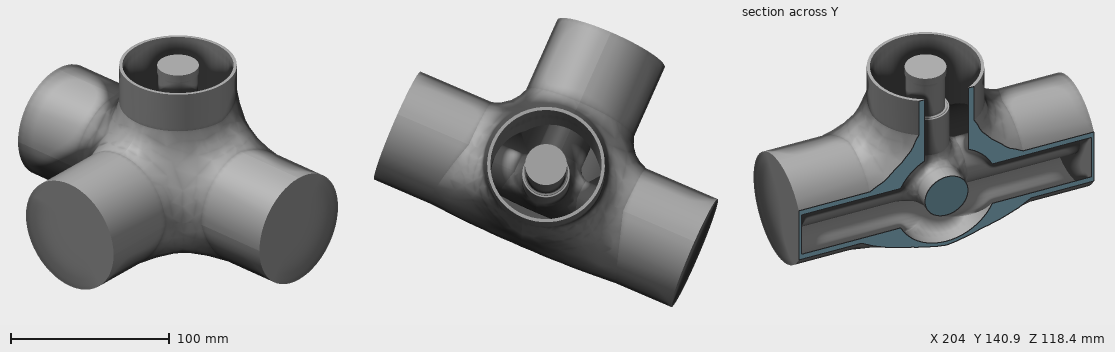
import cadquery as cq
import math

outer_radius = 74.0 / 2
shell_bore_radius = 70.0 / 2
wall = outer_radius - shell_bore_radius
arm_length = 102.0
port_height = 79.5

web_reach_ratio = 1.43
web_middle_ratio = 1.16
corner_ratio = 0.88
crown_reach_ratio = 1.73
crown_ratio = 1.05
heel_ratio = 1.08
belly_reach_ratio = 0.65
belly_height_ratio = 0.92

inner_radius = 30.0 / 2
inner_rim_fillet = (30.0 - 29.5) / 2
inner_arm_length = arm_length - wall
inner_port_height = 49.0
socket_depth = 12.2

pin_radius = 24.9 / 2
shoulder_radius = 28.0 / 2
shoulder_fillet = (28.0 - 26.7) / 2
socket_floor = inner_port_height - socket_depth

ring_radius = 26.3 / 2
ring_height = 4.9

ORIGIN = cq.Vector(0, 0, 0)
X_AXIS = cq.Vector(1, 0, 0)
Y_AXIS = cq.Vector(0, 1, 0)
Z_AXIS = cq.Vector(0, 0, 1)
SIDE_SWAP = Y_AXIS + Z_AXIS



def round_rim(radius, foot, start_side, end_side):
    """Quarter circle round an arm, centred at the foot."""
    middle = (start_side + end_side).normalized()
    return cq.Edge.makeThreePointArc(
        foot + start_side * radius, foot + middle * radius, foot + end_side * radius
    )


def slanted_rim(radius, outward, crown_side, web_side):
    """Quarter ellipse round an arm, from the end of the bulge to the end of the web."""
    foot = outward * (web_reach_ratio * radius)
    to_crown = outward * ((crown_reach_ratio - web_reach_ratio) * radius) + crown_side * radius
    normal = to_crown.cross(web_side)
    return cq.Edge.makeEllipse(
        to_crown.Length, radius, foot, normal, xdir=to_crown, angle1=0, angle2=90
    )


def web_arc(radius, start_side, end_side):
    """Concave arc that joins the sides of two arms."""
    reach = web_reach_ratio * radius
    return cq.Edge.makeThreePointArc(
        start_side * reach + end_side * radius,
        (start_side + end_side) * (web_middle_ratio * radius),
        start_side * radius + end_side * reach,
    )


def crown_arc(radius, outward, crown_side):
    """Ridge of the bulge, from its end on an arm to the centre, level at the centre."""
    rise = (crown_ratio - 1) * radius
    run = crown_reach_ratio * radius
    sweep_radius = (run**2 + rise**2) / (2 * rise)
    half_drop = sweep_radius - math.sqrt(sweep_radius**2 - (run / 2) ** 2)
    top = radius + rise
    return cq.Edge.makeThreePointArc(
        outward * run + crown_side * radius,
        outward * (run / 2) + crown_side * (top - half_drop),
        crown_side * top,
    )



def arm_faces(rim, tip):
    """Quarter of an arm: its round side from the rim to the tip, and its flat end."""
    outward = tip.normalized()
    rim_points = [rim.startPoint(), rim.positionAt(0.5), rim.endPoint()]
    end_points = [point + outward * (tip.Length - point.dot(outward)) for point in rim_points]
    end_arc = cq.Edge.makeThreePointArc(*end_points)
    end_outline = [
        end_arc,
        cq.Edge.makeLine(end_points[-1], tip),
        cq.Edge.makeLine(tip, end_points[0]),
    ]
    flat_end = cq.Face.makeFromWires(cq.Wire.assembleEdges(end_outline))
    return [cq.Face.makeRuledSurface(rim, end_arc), flat_end]


def three_arm_corner(radius, x_tip, y_tip, z_tip):
    """Octant between the +X, -Y and +Z arms."""
    x, y, z = X_AXIS, -Y_AXIS, Z_AXIS
    reach = web_reach_ratio * radius
    x_rim = round_rim(radius, x * reach, z, y)
    y_rim = round_rim(radius, y * reach, x, z)
    z_rim = round_rim(radius, z * reach, y, x)
    skin = cq.Face.makeNSidedSurface(
        [x_rim, web_arc(radius, x, y), y_rim, web_arc(radius, y, z), z_rim, web_arc(radius, z, x)],
        [(x + y + z) * (corner_ratio * radius)],
    )
    return [skin, *arm_faces(x_rim, x_tip), *arm_faces(y_rim, y_tip), *arm_faces(z_rim, z_tip)]


def two_arm_corner(radius, x_tip, y_tip):
    """Octant between the +X and -Y arms, on the bulging -Z side."""
    x, y, down = X_AXIS, -Y_AXIS, -Z_AXIS
    x_rim = slanted_rim(radius, x, down, y)
    y_rim = slanted_rim(radius, y, down, x)
    belly = (x + y) * (belly_reach_ratio * radius) + down * (belly_height_ratio * radius)
    skin = cq.Face.makeNSidedSurface(
        [x_rim, web_arc(radius, x, y), y_rim, crown_arc(radius, y, down), crown_arc(radius, x, down)],
        [belly],
    )
    return [skin, *arm_faces(x_rim, x_tip), *arm_faces(y_rim, y_tip)]


def one_arm_corner(radius, x_tip):
    """Octant beside the +X arm, between the bulging +Y and -Z sides."""
    x, back, down = X_AXIS, Y_AXIS, -Z_AXIS
    x_rim = round_rim(radius, x * (crown_reach_ratio * radius), down, back)
    down_crown = crown_arc(radius, x, down)
    back_crown = crown_arc(radius, x, back)
    heel = (down + back).normalized() * (heel_ratio * radius)
    waist = cq.Edge.makeThreePointArc(down_crown.endPoint(), heel, back_crown.endPoint())
    skin = cq.Face.makeNSidedSurface([x_rim, back_crown, waist, down_crown], [])
    return [skin, *arm_faces(x_rim, x_tip)]


def junction(radius, arm, port):
    """Solid four-way junction, sewn from the faces of its +X half and their mirror images."""
    x_tip = X_AXIS * arm
    y_tip = Y_AXIS * -arm
    z_tip = Z_AXIS * port
    behind_port = two_arm_corner(radius, x_tip, Y_AXIS * -port)
    faces = [
        *three_arm_corner(radius, x_tip, y_tip, z_tip),
        *two_arm_corner(radius, x_tip, y_tip),
        *[face.mirror(SIDE_SWAP) for face in behind_port],
        *one_arm_corner(radius, x_tip),
    ]
    faces += [face.mirror("YZ") for face in faces]
    return cq.Workplane(cq.Solid.makeSolid(cq.Shell.makeShell(faces))).clean()



def cylinder(radius, height, floor):
    """Upright cylinder on the Z axis, standing on the given height."""
    return cq.Workplane("XY", origin=(0, 0, floor)).circle(radius).extrude(height)


def make_outer_conductor():
    """Junction with straight bores that meet at the centre and stop short of the end walls."""
    bore_length = arm_length - wall
    through_bore = cq.Solid.makeCylinder(
        shell_bore_radius, 2 * bore_length, X_AXIS * -bore_length, X_AXIS
    )
    front_bore = cq.Solid.makeCylinder(shell_bore_radius, bore_length, ORIGIN, -Y_AXIS)
    port_bore = cylinder(shell_bore_radius, port_height, 0)
    bores = cq.Workplane(through_bore).union(cq.Workplane(front_bore)).union(port_bore)
    return junction(outer_radius, arm_length, port_height).cut(bores)


def make_inner_conductor():
    """Small junction with a rounded rim and a socket in its +Z arm."""
    body = junction(inner_radius, inner_arm_length, inner_port_height)
    rounded_top = body.faces(">Z").edges().fillet(inner_rim_fillet)
    return rounded_top.cut(cylinder(shoulder_radius, socket_depth, socket_floor))


def make_connector_pin():
    """Round pin with a shoulder whose rounded edge stands just above the socket."""
    shoulder = cylinder(shoulder_radius, socket_depth + shoulder_fillet, socket_floor)
    shoulder = shoulder.faces(">Z").edges().fillet(shoulder_fillet)
    return shoulder.union(cylinder(pin_radius, port_height - socket_floor, socket_floor))


def make_contact_ring():
    """Plain ring, flush with the tip of the pin."""
    floor = port_height - ring_height
    return cylinder(ring_radius, ring_height, floor).cut(cylinder(pin_radius, ring_height, floor))


outer_conductor = make_outer_conductor()
inner_conductor = make_inner_conductor()
connector_pin = make_connector_pin()
contact_ring = make_contact_ring()

result = cq.Compound.makeCompound([
    *outer_conductor.solids().vals(),
    *inner_conductor.solids().vals(),
    *connector_pin.solids().vals(),
    *contact_ring.solids().vals(),
])